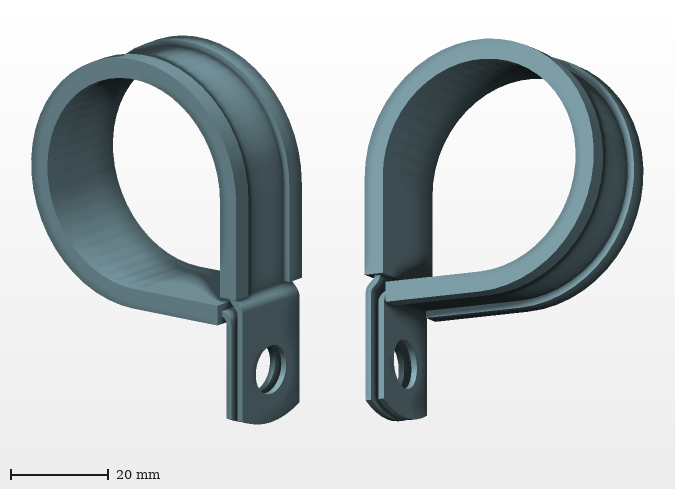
import cadquery as cq
import math

loop_width = 22.1
loop_radius = 26.4
bore_radius = 22.25
vertical_leg_end = -20.3
horizontal_leg_end = 21.6
groove_width = 13.8

strap_thickness = 1.3
strap_outer = 24.9
strap_inner = strap_outer - strap_thickness
strap_width = 19.2

lug_bottom = loop_radius - 74.9
lug_tip_sagitta = 2.2
right_lug_outer = 26.95
left_lug_outer = 24.0
bend_inner_radius = 1.3
bend_outer_radius = bend_inner_radius + strap_thickness
jog_start = -21.3
hole_diameter = 10.25
hole_height = 11.15
embed = 0.75


def extrude_centred(profile, width):
    return profile.extrude(width / 2, both=True)


def loop_outline(radius):
    """Closed teardrop: three quarters of a circle and a square corner."""
    return (
        cq.Workplane("XZ")
        .moveTo(radius, 0)
        .threePointArc((-radius * math.sqrt(0.5), radius * math.sqrt(0.5)), (0, -radius))
        .lineTo(radius, -radius)
        .close()
    )


def make_loop():
    loop = extrude_centred(loop_outline(loop_radius), loop_width)
    loop = loop.cut(extrude_centred(loop_outline(bore_radius), loop_width))
    outside_strap = extrude_centred(loop_outline(loop_radius), groove_width).cut(
        extrude_centred(loop_outline(strap_outer), groove_width)
    )
    loop = loop.cut(outside_strap)
    opening = (
        cq.Workplane("XZ")
        .moveTo(horizontal_leg_end, vertical_leg_end)
        .lineTo(loop_radius, vertical_leg_end)
        .lineTo(loop_radius, -loop_radius)
        .lineTo(horizontal_leg_end, -loop_radius)
        .close()
    )
    return loop.cut(extrude_centred(opening, loop_width))


def make_left_lug():
    """Strap leaves the horizontal leg and bends a quarter turn downward."""
    inner_face = left_lug_outer - strap_thickness
    bend_x = left_lug_outer - bend_outer_radius
    bend_z = -strap_inner - bend_outer_radius
    diagonal = math.sqrt(0.5)
    profile = (
        cq.Workplane("XZ")
        .moveTo(horizontal_leg_end - embed, -strap_inner)
        .lineTo(bend_x, -strap_inner)
        .threePointArc(
            (bend_x + bend_outer_radius * diagonal, bend_z + bend_outer_radius * diagonal),
            (left_lug_outer, bend_z),
        )
        .lineTo(left_lug_outer, lug_bottom)
        .lineTo(inner_face, lug_bottom)
        .lineTo(inner_face, bend_z)
        .threePointArc(
            (bend_x + bend_inner_radius * diagonal, bend_z + bend_inner_radius * diagonal),
            (bend_x, -strap_outer),
        )
        .lineTo(horizontal_leg_end - embed, -strap_outer)
        .close()
    )
    return extrude_centred(profile, strap_width)


def make_right_lug():
    """Strap leaves the vertical leg and jogs outward at 45 degrees."""
    jog = right_lug_outer - strap_outer
    miter = strap_thickness * math.tan(math.radians(22.5))
    outer_jog_start = jog_start + miter
    profile = (
        cq.Workplane("XZ")
        .moveTo(strap_inner, vertical_leg_end + embed)
        .lineTo(strap_outer, vertical_leg_end + embed)
        .lineTo(strap_outer, outer_jog_start)
        .lineTo(right_lug_outer, outer_jog_start - jog)
        .lineTo(right_lug_outer, lug_bottom)
        .lineTo(right_lug_outer - strap_thickness, lug_bottom)
        .lineTo(right_lug_outer - strap_thickness, jog_start - jog)
        .lineTo(strap_inner, jog_start)
        .close()
    )
    lug = extrude_centred(profile, strap_width)

    def round_bend(body, inside, outside):
        for (x, z), radius in ((inside, bend_inner_radius), (outside, bend_outer_radius)):
            body = body.edges(cq.selectors.NearestToPointSelector((x, 0, z))).fillet(radius)
        return body

    lug = round_bend(lug, (strap_outer, outer_jog_start), (strap_inner, jog_start))
    return round_bend(
        lug,
        (right_lug_outer - strap_thickness, jog_start - jog),
        (right_lug_outer, outer_jog_start - jog),
    )


def make_lug_envelope():
    """Lug face shape: rounded tip and bolt hole, spanning both lugs along X."""
    half_width = strap_width / 2
    tip_corner = lug_bottom + lug_tip_sagitta
    return (
        cq.Workplane("YZ")
        .moveTo(-half_width, 0)
        .lineTo(-half_width, tip_corner)
        .threePointArc((0, lug_bottom), (half_width, tip_corner))
        .lineTo(half_width, 0)
        .close()
        .moveTo(0, lug_bottom + hole_height)
        .circle(hole_diameter / 2)
        .extrude(right_lug_outer)
    )


lugs = make_left_lug().union(make_right_lug()).intersect(make_lug_envelope())
result = make_loop().union(lugs)